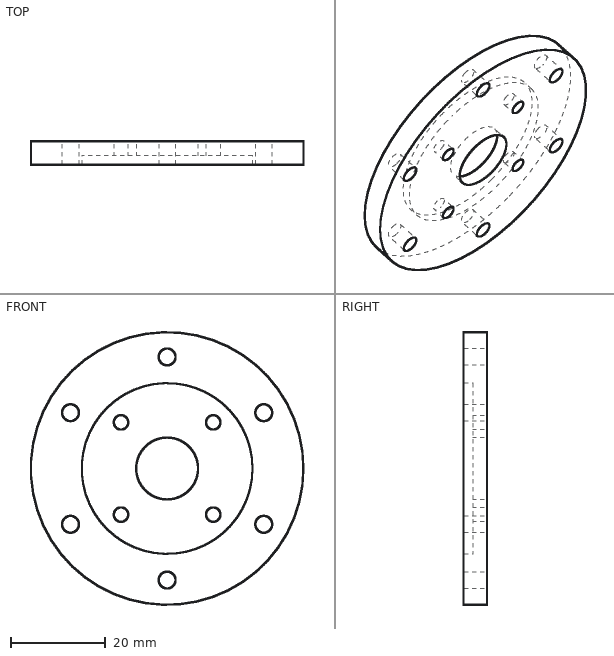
import cadquery as cq

flange_diameter = 57.5
flange_thickness = 5.0
recess_diameter = 36.0
recess_depth = 2.0
bore_diameter = 13.0

outer_hole_count = 6
outer_hole_diameter = 3.5
outer_bolt_circle_diameter = 47.05

inner_hole_diameter = 3.0
inner_hole_spacing = 19.45

flange = (
    cq.Workplane("XZ")
    .circle(flange_diameter / 2)
    .extrude(flange_thickness)
)

front_face = flange.faces("<Y").workplane(centerOption="CenterOfBoundBox")
recessed = front_face.circle(recess_diameter / 2).cutBlind(-recess_depth)


def cut_through(body, hole_centers, diameter):
    """Cut round holes through the full thickness, centred on hole_centers."""
    cutters = hole_centers.circle(diameter / 2).extrude(flange_thickness)
    return body.cut(cutters)


back_plane = cq.Workplane("XZ")
outer_holes = back_plane.polarArray(
    outer_bolt_circle_diameter / 2, 90, 360, outer_hole_count
)
inner_holes = back_plane.rect(
    inner_hole_spacing, inner_hole_spacing, forConstruction=True
).vertices()

result = cut_through(recessed, back_plane, bore_diameter)
result = cut_through(result, outer_holes, outer_hole_diameter)
result = cut_through(result, inner_holes, inner_hole_diameter)